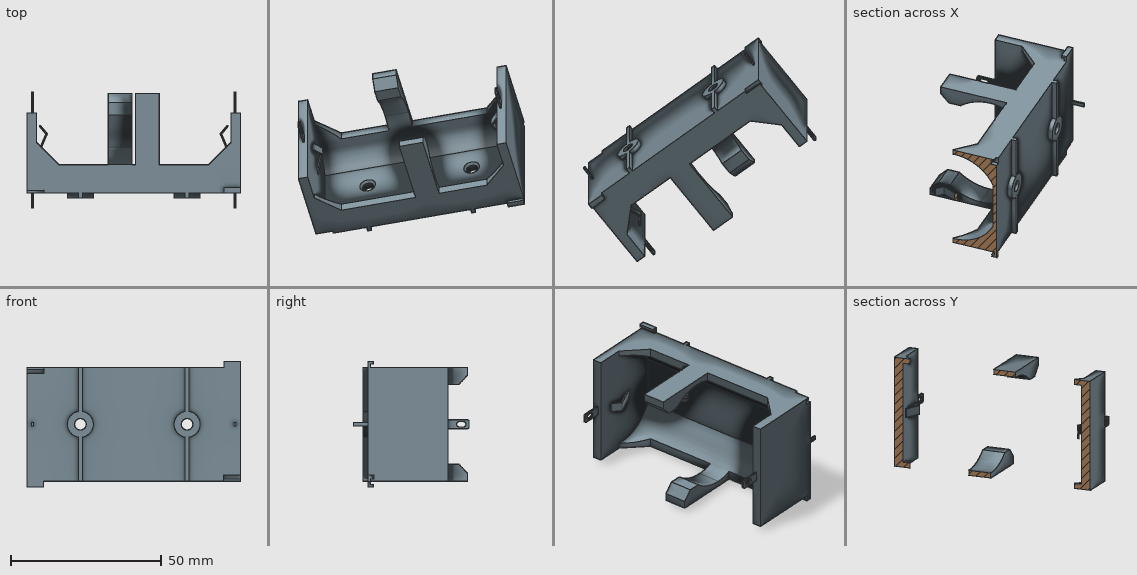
import cadquery as cq
import math


body_length = 71.0
body_height = 37.9
wall_depth = 26.7
wall_thickness = 3.2
side_depth = 9.5
ramp_run = 7.45

cradle_radius = 17.1
cradle_axis_y = 15.2
corner_radius = 15.2
floor_thickness = 1.4

arm_reach = 33.25
arm_gap = 1.1
arm_width = 8.0
arm_thickness = 5.75
arm_tip_thickness = 2.6
arm_tip_chamfer = 3.0

boss_spacing = 35.5
boss_diameter = 8.65
boss_height = 1.6
hole_diameter = 3.75
countersink_start_y = 0.65
rib_width = 1.35

overall_height = 41.8
hook_length = 5.55
hook_web = 0.9
hook_depth = 1.85
hook_lip = 0.9
recess_length = 5.7
recess_height = 2.05
recess_depth = 2.05
recess_mouth_lip = 0.7

terminal_x = 33.65
terminal_thickness = 0.6
tab_tip_y = 33.7
tab_width = 3.05
tab_corner_radius = 0.7
tab_slot_length = 3.05
tab_slot_width = 1.7
tab_slot_y = 31.1
pin_length = 4.8
pin_width = 1.2
spring_thickness = 0.5
spring_apex = (29.0, 19.75)
spring_tip = (31.2, 22.3)
spring_root_y = 8.9

half_length = body_length / 2
half_height = body_height / 2
inner_half_length = half_length - wall_thickness


def box(x_range, y_range, z_range):
    """Box from its lower and upper limit along each axis."""
    lower, upper = zip(x_range, y_range, z_range)
    size = [high - low for low, high in zip(lower, upper)]
    return cq.Workplane("XY").box(*size, centered=False).translate(lower)


def half_turn(shape):
    """The same shape turned half a turn about the Y axis."""
    return shape.rotate((0, 0, 0), (0, 1, 0), 180)


def make_body():
    floor_half = inner_half_length - ramp_run
    return (
        cq.Workplane("XY")
        .moveTo(-half_length, 0)
        .lineTo(half_length, 0)
        .lineTo(half_length, wall_depth)
        .lineTo(inner_half_length, wall_depth)
        .lineTo(inner_half_length, side_depth + ramp_run)
        .lineTo(floor_half, side_depth)
        .lineTo(-floor_half, side_depth)
        .lineTo(-inner_half_length, side_depth + ramp_run)
        .lineTo(-inner_half_length, wall_depth)
        .lineTo(-half_length, wall_depth)
        .close()
        .extrude(half_height, both=True)
    )


def make_upper_arm():
    inner_z = half_height - arm_thickness
    profile = [
        (floor_thickness, half_height),
        (arm_reach, half_height),
        (arm_reach, half_height - arm_tip_thickness),
        (arm_reach - arm_tip_chamfer, inner_z),
        (floor_thickness, inner_z),
    ]
    return (
        cq.Workplane("YZ", origin=(arm_gap / 2, 0, 0))
        .polyline(profile)
        .close()
        .extrude(arm_width)
    )


def make_cradle():
    """Cell space between the end walls: round under the arms, rounded corners, flat floor."""
    corner_centre_z = cradle_radius - corner_radius
    arc_end_angle = math.asin((cradle_axis_y - floor_thickness) / corner_radius)

    def corner_point(angle, side):
        """Point on a rounded corner, the angle measured from its outermost point towards the floor."""
        y = cradle_axis_y - corner_radius * math.sin(angle)
        z = corner_centre_z + corner_radius * math.cos(angle)
        return (y, side * z)

    return (
        cq.Workplane("YZ")
        .moveTo(cradle_axis_y, -cradle_radius)
        .threePointArc((cradle_axis_y + cradle_radius, 0), (cradle_axis_y, cradle_radius))
        .threePointArc(corner_point(arc_end_angle / 2, 1), corner_point(arc_end_angle, 1))
        .lineTo(*corner_point(arc_end_angle, -1))
        .threePointArc(corner_point(arc_end_angle / 2, -1), (cradle_axis_y, -cradle_radius))
        .close()
        .extrude(inner_half_length, both=True)
    )


def make_boss_and_rib(x):
    boss = cq.Workplane("XZ", origin=(x, 0, 0)).circle(boss_diameter / 2).extrude(boss_height)
    rib = box(
        (x - rib_width / 2, x + rib_width / 2),
        (-boss_height, 0),
        (-half_height, half_height),
    )
    return boss.union(rib)


def make_countersunk_hole(x):
    """Screw hole through the boss, with a 90 degree countersink opening into the cradle floor."""
    radius = hole_diameter / 2
    sink_radius = radius + floor_thickness - countersink_start_y
    return (
        cq.Workplane("XY")
        .moveTo(0, -boss_height)
        .lineTo(radius, -boss_height)
        .lineTo(radius, countersink_start_y)
        .lineTo(sink_radius, floor_thickness)
        .lineTo(0, floor_thickness)
        .close()
        .revolve(360, (0, 0, 0), (0, 1, 0))
        .translate((x, 0, 0))
    )


def make_hook():
    """L-shaped hook above the right end of the back plate."""
    top = overall_height / 2
    x_range = (half_length - hook_length, half_length)
    web = box(x_range, (0, hook_web), (half_height, top))
    lip = box(x_range, (0, hook_depth), (top - hook_lip, top))
    return web.union(lip)


def make_recess():
    """Undercut recess in the upper left end that accepts a neighbour's hook."""
    bottom = half_height - recess_height
    x_range = (-half_length, recess_length - half_length)
    mouth = box(x_range, (0, hook_web), (bottom, half_height))
    undercut = box(x_range, (0, recess_depth), (bottom, half_height - recess_mouth_lip))
    return mouth.union(undercut)


def make_terminal():
    """Right-hand solder tab and pin."""
    left_face = terminal_x - terminal_thickness / 2
    x_range = (left_face, left_face + terminal_thickness)
    tab = box(x_range, (side_depth, tab_tip_y), (-tab_width / 2, tab_width / 2))
    tab = tab.faces(">Y").edges("|X").fillet(tab_corner_radius)
    slot = (
        cq.Workplane("YZ", origin=(left_face, 0, 0))
        .center(tab_slot_y, 0)
        .slot2D(tab_slot_length, tab_slot_width)
        .extrude(terminal_thickness)
    )
    pin = box(x_range, (-pin_length, side_depth), (-pin_width / 2, pin_width / 2))
    return tab.cut(slot).union(pin)


def make_spring():
    """Bent contact strip that leans out of the right-hand wall."""
    root = (terminal_x, spring_root_y)
    return (
        cq.Workplane("XY")
        .polyline([root, spring_apex, spring_tip])
        .offset2D(spring_thickness / 2)
        .extrude(tab_width / 2, both=True)
    )


upper_arm = make_upper_arm()
hook = make_hook()
recess = make_recess()
contact = make_terminal().union(make_spring())

result = make_body().union(upper_arm).union(half_turn(upper_arm)).cut(make_cradle())
result = result.cut(recess).cut(half_turn(recess))
result = result.union(hook).union(half_turn(hook))
for boss_x in (-boss_spacing / 2, boss_spacing / 2):
    result = result.union(make_boss_and_rib(boss_x)).cut(make_countersunk_hole(boss_x))
result = result.union(contact).union(contact.mirror("YZ"))